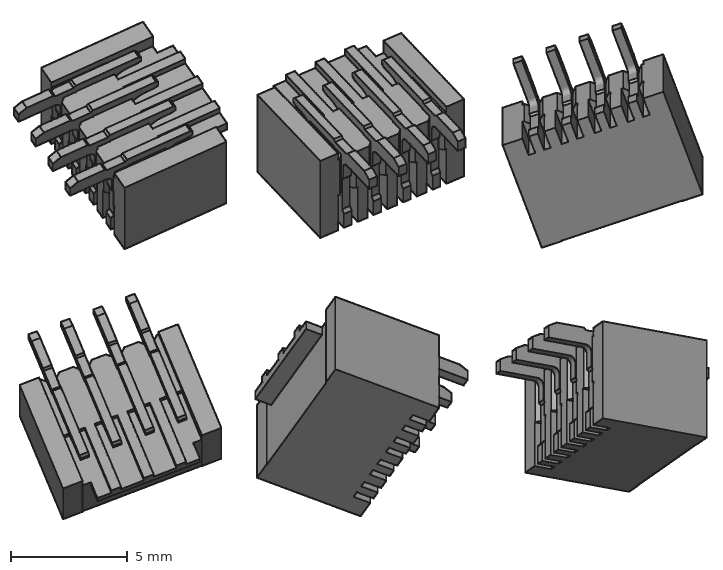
import cadquery as cq


housing_width = 7.3
housing_depth = 5.0
wall_thickness = 0.9
wall_height = 4.45
core_width = housing_width - 2 * wall_thickness
core_height = 4.09
core_rear_setback = 0.02
core_depth = housing_depth - core_rear_setback

tongue_width = 4.72
tongue_rear = 5.75
tongue_bottom = 3.29

recess_width = 1.045
recess_front = 2.71
recess_floor = 3.76

pin_count = 4
pin_pitch = 1.5
pin_width = 0.4
pin_centers = [(i - (pin_count - 1) / 2) * pin_pitch for i in range(pin_count)]

slot_width = 1.0
slot_height = 2.0
slot_depth = 0.8
pin_clearance = 0.02
throat_width = pin_width + 2 * pin_clearance
entry_chamfer = 0.2

arm_tip = -2.0
arm_top = 4.52
arm_bottom = 3.77
tip_chamfer_length = 0.4
tip_chamfer_drop = 0.21
saddle_depth = 0.1
saddle_ramp = 0.1
saddle_front = -0.2
saddle_rear = 0.7
arm_rear = 4.02
rear_top_chamfer = 0.12
rear_heel_length = 0.22
rear_heel_rise = 0.08
arm_underside = 4.1
underside_bend_start = 3.45
underside_bend_radius = 1.2

elbow_radius = 0.3
leg_upper_front = 0.05
leg_waist_front = 0.15
leg_foot_front = 0.0
waist_top = 2.69
waist_top_ramp = 0.11
foot_height = 0.8
foot_ramp = 0.16


def box(x_size, y_min, y_max, z_min, z_max, x_center=0.0):
    """Block centered on x_center, spanning the given Y and Z ranges."""
    corner = (x_center - x_size / 2, y_min, z_min)
    return cq.Workplane("XY").box(x_size, y_max - y_min, z_max - z_min, centered=False).translate(corner)


def make_housing():
    """Core block between two taller end walls, with a tongue at the rear."""
    housing = box(core_width, 0, core_depth, 0, core_height)
    wall_center = (housing_width - wall_thickness) / 2
    for side in (-1, 1):
        housing = housing.union(box(wall_thickness, 0, housing_depth, 0, wall_height, side * wall_center))
    return housing.union(box(tongue_width, recess_front, tongue_rear, tongue_bottom, core_height))


def make_recess(x_center):
    """Rear top recess behind one pin, kept inside the end walls."""
    recess = box(recess_width, recess_front, tongue_rear, recess_floor, wall_height, x_center)
    return recess.intersect(box(core_width, 0, tongue_rear, 0, wall_height))


def make_entry(x_center):
    """Wide lower slot plus a chamfered throat above it with slight pin clearance."""
    lower_slot = box(slot_width, 0, slot_depth, 0, slot_height, x_center)
    half_inner = throat_width / 2
    half_outer = half_inner + entry_chamfer
    throat = (
        cq.Workplane("XY", origin=(x_center, 0, slot_height))
        .polyline([
            (-half_outer, 0),
            (half_outer, 0),
            (half_inner, entry_chamfer),
            (half_inner, slot_depth),
            (-half_inner, slot_depth),
            (-half_inner, entry_chamfer),
        ])
        .close()
        .extrude(core_height - slot_height)
    )
    return lower_slot.union(throat)


def make_pin(x_center):
    """Bent pin: arm over the housing top, and a leg that stands in the entry slot."""
    saddle_top = arm_top - saddle_depth
    bend_center_z = arm_underside - underside_bend_radius
    bend_run = underside_bend_start - recess_front
    bend_end_z = bend_center_z + (underside_bend_radius**2 - bend_run**2) ** 0.5
    profile = (
        cq.Workplane("YZ", origin=(x_center, 0, 0))
        .moveTo(arm_tip, arm_bottom)
        .lineTo(arm_tip, arm_top - tip_chamfer_drop)
        .lineTo(arm_tip + tip_chamfer_length, arm_top)
        .lineTo(saddle_front - saddle_ramp, arm_top)
        .lineTo(saddle_front, saddle_top)
        .lineTo(saddle_rear, saddle_top)
        .lineTo(saddle_rear + saddle_ramp, arm_top)
        .lineTo(arm_rear - rear_top_chamfer, arm_top)
        .lineTo(arm_rear, arm_top - rear_top_chamfer)
        .lineTo(arm_rear, arm_underside + rear_heel_rise)
        .lineTo(arm_rear - rear_heel_length, arm_underside)
        .lineTo(underside_bend_start, arm_underside)
        .radiusArc((recess_front, bend_end_z), -underside_bend_radius)
        .lineTo(slot_depth, bend_end_z)
        .lineTo(slot_depth, 0)
        .lineTo(leg_foot_front, 0)
        .lineTo(leg_foot_front, foot_height)
        .lineTo(leg_waist_front, foot_height + foot_ramp)
        .lineTo(leg_waist_front, waist_top)
        .lineTo(leg_upper_front, waist_top + waist_top_ramp)
        .lineTo(leg_upper_front, arm_bottom - elbow_radius)
        .radiusArc((leg_upper_front - elbow_radius, arm_bottom), -elbow_radius)
        .close()
    )
    return profile.extrude(pin_width / 2, both=True)


result = make_housing()
for pin_x in pin_centers:
    result = result.cut(make_recess(pin_x)).cut(make_entry(pin_x))
for pin_x in pin_centers:
    result = result.union(make_pin(pin_x))